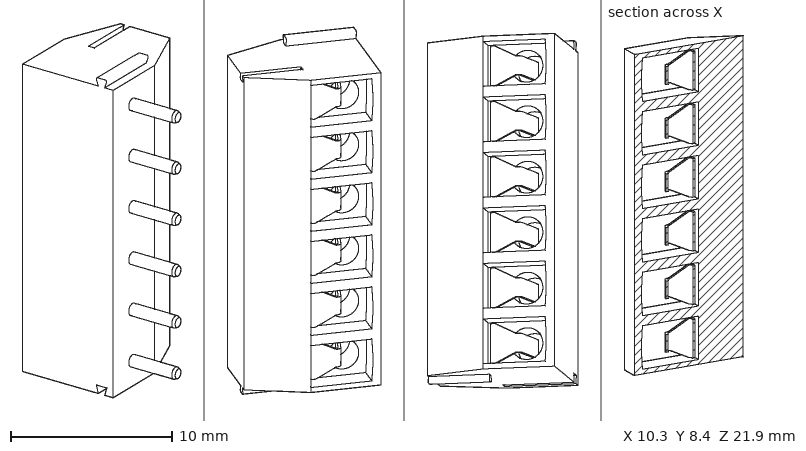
import cadquery as cq
import math

TOTAL_HEIGHT = 21.95
TOTAL_WIDTH = 10.3
POLE_COUNT = 6

BODY_WIDTH = 6.85
BODY_DEPTH = 8.4
SHOULDER_Y = 4.52
SHOULDER_INSET = 1.55

UPPER_RAIL_X = 5.97
UPPER_RAIL_HEIGHT = 0.55
UPPER_RAIL_NECK = 0.48
UPPER_RAIL_HEAD = 0.85
LOWER_RAIL_X = 2.06
LOWER_RAIL_HEIGHT = 0.42
LOWER_RAIL_NECK = 0.42
LOWER_RAIL_HEAD = 0.68
RAIL_ROUND = 0.1
GROOVE_NECK = 0.48
GROOVE_HEAD = 0.77

BODY_HEIGHT = TOTAL_HEIGHT - UPPER_RAIL_HEIGHT - LOWER_RAIL_HEIGHT
PITCH = BODY_HEIGHT / POLE_COUNT

PIN_DIAMETER = 0.81
PIN_Y = 2.1
PIN_CHAMFER_LENGTH = 0.2
PIN_CHAMFER_DEPTH = 0.09

WINDOW_HEIGHT = 2.8
WINDOW_DEPTH = 1.4
WINDOW_SILL_Y = 0.6
WINDOW_SILL_BOW = 0.07
WIRE_HOLE_DIAMETER = 2.0
WIRE_HOLE_Y = 2.05
WIRE_HOLE_DEPTH = 2.09

LEAF_X = 0.88
LEAF_THICKNESS = 0.18
LEAF_TOP_Y = 4.3
LEAF_TOP_RADIUS = 0.29
LEAF_LOW_BEND_Y = 2.6
LEAF_LOW_RADIUS = 0.33
LEAF_TAIL_ANGLE = 78
LEAF_WIDE = 2.55
LEAF_NARROW = 1.19
LEAF_TAPER_START_Y = 4.0
LEAF_TAPER_END_Y = 2.64


def housing():
    """Extruded block whose two +Y corners slope inward above the shoulders."""
    outline = [
        (0, 0),
        (BODY_WIDTH, 0),
        (BODY_WIDTH, SHOULDER_Y),
        (BODY_WIDTH - SHOULDER_INSET, BODY_DEPTH),
        (SHOULDER_INSET, BODY_DEPTH),
        (0, SHOULDER_Y),
    ]
    return cq.Workplane("XY").polyline(outline).close().extrude(BODY_HEIGHT)


def dovetail(center_x, base_z, rise, neck, head, start_y, end_y):
    """Dovetail bar along Y, growing from neck to head over a signed rise in Z."""
    profile = [
        (center_x - neck / 2, base_z),
        (center_x + neck / 2, base_z),
        (center_x + head / 2, base_z + rise),
        (center_x - head / 2, base_z + rise),
    ]
    plane = cq.Workplane("XZ", origin=(0, start_y, 0))
    return plane.polyline(profile).close().extrude(start_y - end_y)


def upper_rail():
    """Rail on the top face on the -Y side of the shoulder, with rounded head corners."""
    rail = dovetail(
        UPPER_RAIL_X, BODY_HEIGHT, UPPER_RAIL_HEIGHT,
        UPPER_RAIL_NECK, UPPER_RAIL_HEAD, 0, SHOULDER_Y,
    )
    return rail.faces(">Z").edges("|Y").fillet(RAIL_ROUND)


def lower_rail():
    """Rail on the bottom face on the +Y side of the shoulder, with rounded head corners."""
    rail = dovetail(
        LOWER_RAIL_X, 0, -LOWER_RAIL_HEIGHT,
        LOWER_RAIL_NECK, LOWER_RAIL_HEAD, SHOULDER_Y, BODY_DEPTH,
    )
    return rail.faces("<Z").edges("|Y").fillet(RAIL_ROUND)


def lower_groove():
    """Groove in the bottom face that takes the upper rail of the next block."""
    return dovetail(UPPER_RAIL_X, 0, UPPER_RAIL_HEIGHT, GROOVE_NECK, GROOVE_HEAD, 0, SHOULDER_Y)


def upper_groove():
    """Groove in the top face that takes the lower rail of the next block."""
    groove = dovetail(
        LOWER_RAIL_X, BODY_HEIGHT, -LOWER_RAIL_HEIGHT,
        LOWER_RAIL_NECK, LOWER_RAIL_HEAD, SHOULDER_Y, BODY_DEPTH,
    )
    return groove.faces("<Z").edges("|Y").fillet(RAIL_ROUND)


def solder_pin(center_z):
    """Round pin on the +X face with a chamfered tip."""
    radius = PIN_DIAMETER / 2
    profile = [
        (BODY_WIDTH, 0),
        (BODY_WIDTH, radius),
        (TOTAL_WIDTH - PIN_CHAMFER_LENGTH, radius),
        (TOTAL_WIDTH, radius - PIN_CHAMFER_DEPTH),
        (TOTAL_WIDTH, 0),
    ]
    pin = cq.Workplane("XY").polyline(profile).close().revolve(360, (0, 0, 0), (1, 0, 0))
    return pin.translate((0, PIN_Y, center_z))


def wire_entry(center_z):
    """Window in the -X face, its sill bowed toward -Y, with a round hole in its back wall."""
    window = (
        cq.Workplane("YZ", origin=(0, 0, center_z))
        .moveTo(WINDOW_SILL_Y, -WINDOW_HEIGHT / 2)
        .threePointArc((WINDOW_SILL_Y - WINDOW_SILL_BOW, 0), (WINDOW_SILL_Y, WINDOW_HEIGHT / 2))
        .lineTo(SHOULDER_Y, WINDOW_HEIGHT / 2)
        .lineTo(SHOULDER_Y, -WINDOW_HEIGHT / 2)
        .close()
        .extrude(WINDOW_DEPTH)
    )
    hole = (
        cq.Workplane("YZ", origin=(WINDOW_DEPTH, WIRE_HOLE_Y, center_z))
        .circle(WIRE_HOLE_DIAMETER / 2)
        .extrude(WIRE_HOLE_DEPTH)
    )
    return window.union(hole)


def clamp_leaf(center_z):
    """Strip from the back wall over a top bend, down, and back into the wire hole."""
    angle = math.radians(LEAF_TAIL_ANGLE)
    back_x = WINDOW_DEPTH + WIRE_HOLE_DEPTH

    top_center = (LEAF_X + LEAF_TOP_RADIUS, LEAF_TOP_Y - LEAF_TOP_RADIUS)
    low_center = (LEAF_X + LEAF_LOW_RADIUS, LEAF_LOW_BEND_Y)
    top_inner = LEAF_TOP_RADIUS - LEAF_THICKNESS
    low_inner = LEAF_LOW_RADIUS - LEAF_THICKNESS

    def on_arc(center, radius, turn):
        """Point on a bend, turned from the -X direction; positive turns go toward -Y."""
        return (center[0] - radius * math.cos(turn), center[1] - radius * math.sin(turn))

    def tail_end(start):
        """Point where the straight tail from this bend point meets the hole floor."""
        return (back_x, start[1] - (back_x - start[0]) / math.tan(angle))

    outer_tail = on_arc(low_center, LEAF_LOW_RADIUS, angle)
    inner_tail = on_arc(low_center, low_inner, angle)
    quarter = math.pi / 2
    strip = (
        cq.Workplane("XY")
        .moveTo(back_x, LEAF_TOP_Y)
        .lineTo(top_center[0], LEAF_TOP_Y)
        .threePointArc(
            on_arc(top_center, LEAF_TOP_RADIUS, -quarter / 2),
            on_arc(top_center, LEAF_TOP_RADIUS, 0),
        )
        .lineTo(*on_arc(low_center, LEAF_LOW_RADIUS, 0))
        .threePointArc(on_arc(low_center, LEAF_LOW_RADIUS, angle / 2), outer_tail)
        .lineTo(*tail_end(outer_tail))
        .lineTo(*tail_end(inner_tail))
        .lineTo(*inner_tail)
        .threePointArc(on_arc(low_center, low_inner, angle / 2), on_arc(low_center, low_inner, 0))
        .lineTo(*on_arc(top_center, top_inner, 0))
        .threePointArc(
            on_arc(top_center, top_inner, -quarter / 2),
            on_arc(top_center, top_inner, -quarter),
        )
        .lineTo(back_x, LEAF_TOP_Y - LEAF_THICKNESS)
        .close()
        .extrude(LEAF_WIDE / 2, both=True)
    )
    taper = [
        (SHOULDER_Y, LEAF_WIDE / 2),
        (LEAF_TAPER_START_Y, LEAF_WIDE / 2),
        (LEAF_TAPER_END_Y, LEAF_NARROW / 2),
        (0, LEAF_NARROW / 2),
    ]
    mirrored = [(y, -z) for y, z in reversed(taper)]
    blank = cq.Workplane("YZ").polyline(taper + mirrored).close().extrude(BODY_WIDTH)
    return strip.intersect(blank).translate((0, 0, center_z))


result = housing().union(upper_rail()).union(lower_rail()).cut(lower_groove()).cut(upper_groove())

for pole in range(POLE_COUNT):
    pole_z = (pole + 0.5) * PITCH
    result = result.cut(wire_entry(pole_z)).union(clamp_leaf(pole_z)).union(solder_pin(pole_z))